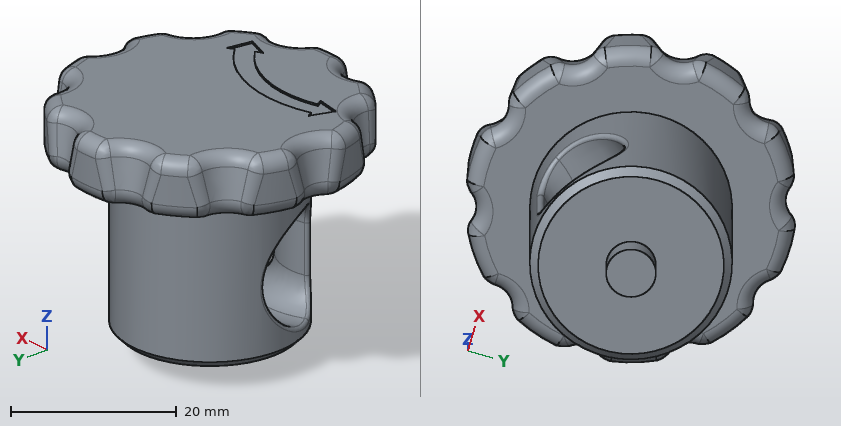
import cadquery as cq
import math

HEAD_RADIUS = 20
HEAD_HEIGHT = 8
HEAD_FILLET = 2
SCALLOP_COUNT = 10
SCALLOP_CENTER_RADIUS = 21.7
SCALLOP_TOP_RADIUS = 4.28
SCALLOP_TAPER = 12

BODY_RADIUS = 12.2
BODY_BOTTOM_Z = -31.0
BODY_CHAMFER = 1.0
PIN_DIAMETER = 6
PIN_BOTTOM_Z = -34.2

SIDE_TURN = -15
TUNNEL_BEND_CENTER = 17.5
TUNNEL_BEND_INNER = 8
TUNNEL_HEIGHT = 15.0
TUNNEL_RADIUS = TUNNEL_HEIGHT / 2
TUNNEL_BEND_OUTER = 20
TUNNEL_CORNER_RADIUS = 4
TUNNEL_MID_Z = -21.05
TUNNEL_EDGE_FILLET = 0.48
EDGE_TOLERANCE = 0.05

ARROW_CENTER = 24
ARROW_OUTER_RADIUS = 18.68
ARROW_INNER_RADIUS = 16.15
ARROW_SHAFT_HALF_ANGLE = 35
ARROW_TIP = (17.0, 41.8)
ARROW_OUTER_BARB = (19.6, 34.2)
ARROW_INNER_BARB = (15.1, 30.9)
ARROW_DEPTH = 0.25


def turned_to_side(shape):
    return shape.rotate((0, 0, 0), (0, 0, 1), SIDE_TURN)


def make_head():
    """Disc with tapered scallops around its rim, rounded on every edge."""
    disc = cq.Workplane("XY").circle(HEAD_RADIUS).extrude(-HEAD_HEIGHT)
    scallops = (
        cq.Workplane("XY")
        .polarArray(SCALLOP_CENTER_RADIUS, 0, 360, SCALLOP_COUNT)
        .circle(SCALLOP_TOP_RADIUS)
        .extrude(-HEAD_HEIGHT, taper=SCALLOP_TAPER)
    )
    return disc.cut(scallops).edges().fillet(HEAD_FILLET)


def make_tunnel():
    """Ring with a circular section, flattened toward the bend center and rounded at the flat's ends."""
    section_center = TUNNEL_BEND_OUTER - TUNNEL_RADIUS
    corner_center = TUNNEL_BEND_INNER + TUNNEL_CORNER_RADIUS

    center_gap = TUNNEL_RADIUS - TUNNEL_CORNER_RADIUS
    center_offset = section_center - corner_center
    flat_half = math.sqrt(center_gap**2 - center_offset**2)
    touch_x = section_center - TUNNEL_RADIUS * center_offset / center_gap
    touch_z = TUNNEL_RADIUS * flat_half / center_gap
    bulge = TUNNEL_CORNER_RADIUS * math.sqrt(0.5)
    bulge_x = corner_center - bulge
    bulge_z = flat_half + bulge

    section = (
        cq.Workplane("XZ")
        .moveTo(TUNNEL_BEND_INNER, -flat_half)
        .lineTo(TUNNEL_BEND_INNER, flat_half)
        .threePointArc((bulge_x, bulge_z), (touch_x, touch_z))
        .threePointArc((TUNNEL_BEND_OUTER, 0), (touch_x, -touch_z))
        .threePointArc((bulge_x, -bulge_z), (TUNNEL_BEND_INNER, -flat_half))
        .close()
    )
    ring = section.revolve(360, (0, 0, 0), (0, 1, 0))
    return turned_to_side(ring.translate((0, -TUNNEL_BEND_CENTER, TUNNEL_MID_Z)))


def is_tunnel_rim(edge):
    """True for edges between the tunnel and the round wall of the body."""
    point = edge.positionAt(0.5)
    box = edge.BoundingBox()
    reach = TUNNEL_RADIUS + EDGE_TOLERANCE
    on_wall = abs(math.hypot(point.x, point.y) - BODY_RADIUS) < EDGE_TOLERANCE
    beside_tunnel = box.zmax < TUNNEL_MID_Z + reach and box.zmin > TUNNEL_MID_Z - reach
    return on_wall and beside_tunnel


def make_body():
    """Cylinder with a chamfered lower end, crossed by the curved tunnel with rounded mouths."""
    body = (
        cq.Workplane("XY", origin=(0, 0, -HEAD_HEIGHT))
        .circle(BODY_RADIUS)
        .extrude(BODY_BOTTOM_Z + HEAD_HEIGHT)
        .faces("<Z")
        .chamfer(BODY_CHAMFER)
        .cut(make_tunnel())
    )
    rims = [edge for edge in body.edges().vals() if is_tunnel_rim(edge)]
    return body.newObject(rims).fillet(TUNNEL_EDGE_FILLET)


def make_pin():
    pin = cq.Workplane("XY", origin=(0, 0, BODY_BOTTOM_Z)).circle(PIN_DIAMETER / 2)
    return pin.extrude(PIN_BOTTOM_Z - BODY_BOTTOM_Z)


def arrow_point(radius, angle):
    """Point at a radius from the arrow's arc center and an angle from its middle line."""
    turn = math.radians(angle)
    return (radius * math.sin(turn), radius * math.cos(turn))


def make_arrow():
    """Curved double-headed arrow that is sunk into the top face."""
    plane = cq.Workplane("XY", origin=(0, -ARROW_CENTER, 0))
    arrow = (
        plane.moveTo(*arrow_point(ARROW_OUTER_RADIUS, -ARROW_SHAFT_HALF_ANGLE))
        .threePointArc(
            arrow_point(ARROW_OUTER_RADIUS, 0),
            arrow_point(ARROW_OUTER_RADIUS, ARROW_SHAFT_HALF_ANGLE),
        )
        .lineTo(*arrow_point(ARROW_INNER_RADIUS, ARROW_SHAFT_HALF_ANGLE))
        .threePointArc(
            arrow_point(ARROW_INNER_RADIUS, 0),
            arrow_point(ARROW_INNER_RADIUS, -ARROW_SHAFT_HALF_ANGLE),
        )
        .close()
        .extrude(-ARROW_DEPTH)
    )
    for side in (-1, 1):
        corners = [
            arrow_point(radius, side * angle)
            for radius, angle in (ARROW_TIP, ARROW_OUTER_BARB, ARROW_INNER_BARB)
        ]
        arrow = arrow.union(plane.polyline(corners).close().extrude(-ARROW_DEPTH))
    return turned_to_side(arrow)


result = make_head().union(make_body()).union(make_pin()).cut(make_arrow())